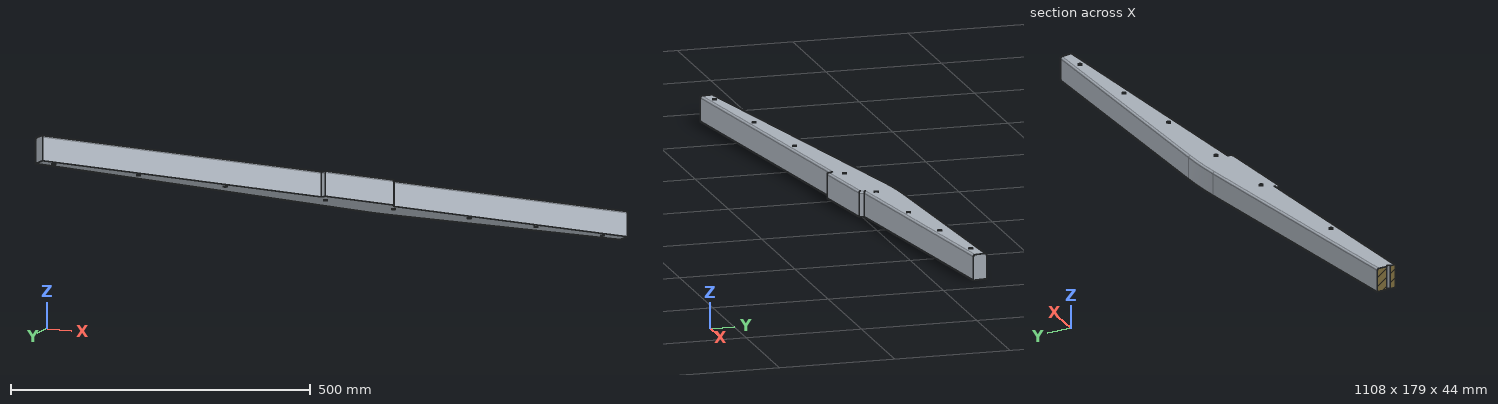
import cadquery as cq
import math

TILT = 8.0
SPAN_X = 1108.0
HEIGHT = 44.0
END_WIDTH = 24.0
EDGE_RADIUS = 3.0

APEX_U = 669.0
APEX_V = 59.0
APEX_RADIUS = 554.0

PAD_START = 535.0
PAD_END = 669.0
PAD_DEPTH = 8.0
PAD_RAMP = 3.0

HOLE_DIAMETER = 6.0
ROW_V = 13.0
PAD_ROW_V = 18.0
ROW_HOLES = [29.0, 191.0, 356.0, 821.0, 948.0, 1075.0]
PAD_HOLES = [550.0, 679.0]

tilt = math.radians(TILT)
length = (SPAN_X - END_WIDTH * math.sin(tilt)) / math.cos(tilt)


def make_body():
    """Tapered beam with the front pad and a rounded rear apex."""
    outline = [
        (0, 0),
        (PAD_START - PAD_RAMP, 0),
        (PAD_START, -PAD_DEPTH),
        (PAD_END - PAD_RAMP, -PAD_DEPTH),
        (PAD_END, 0),
        (length, 0),
        (length, END_WIDTH),
        (APEX_U, APEX_V),
        (0, END_WIDTH),
    ]
    body = cq.Workplane("XY").polyline(outline).close().extrude(HEIGHT)
    apex_edge = cq.selectors.NearestToPointSelector((APEX_U, APEX_V, HEIGHT / 2))
    return body.edges(apex_edge).fillet(APEX_RADIUS)


def round_long_sides(body):
    """Round the top edges everywhere except across the two square ends."""
    long_edges = body.faces(">Z").edges().filter(
        lambda edge: EDGE_RADIUS < edge.Center().x < length - EDGE_RADIUS
    )
    return long_edges.fillet(EDGE_RADIUS)


def make_holes():
    centers = [(u, ROW_V) for u in ROW_HOLES] + [(u, PAD_ROW_V) for u in PAD_HOLES]
    return cq.Workplane("XY").pushPoints(centers).circle(HOLE_DIAMETER / 2).extrude(HEIGHT)


beam = round_long_sides(make_body()).cut(make_holes())
result = beam.rotate((0, 0, 0), (0, 0, 1), TILT)